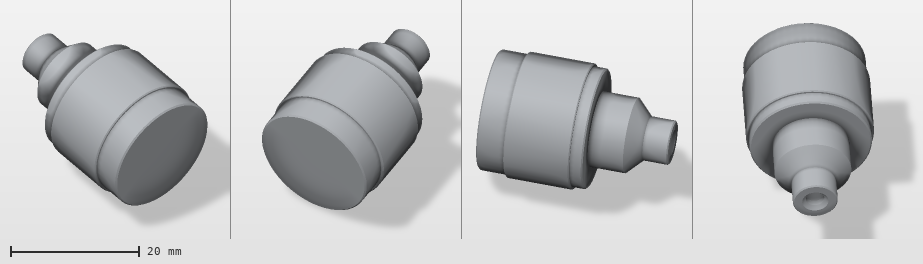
import cadquery as cq

nose_radius = 3.5
neck_radius = 6.0
body_radius = 9.55
sleeve_radius = 10.0

overall_length = 29.22
nose_length = 4.03
cone_end = nose_length + neck_radius - nose_radius
body_start = 12.15
sleeve_start = 14.2
sleeve_end = 24.75

nose_chamfer = 0.2
body_chamfer = 0.23
sleeve_chamfer = 0.18

countersink_radius = 2.05
entry_radius = 1.45
chamber_radius = 1.6
end_bore_radius = 1.25
countersink_depth = countersink_radius - entry_radius
entry_depth = 1.52
chamber_depth = nose_length
end_bore_depth = cone_end


def revolve_about_x(points):
    """Turn a closed (distance along X, radius) outline about the X axis."""
    outline = cq.Workplane("XY").polyline(points).close()
    return outline.revolve(360, (0, 0, 0), (1, 0, 0))


def chamfered_cylinder(start, end, radius, chamfer):
    """A cylinder along X with the same chamfer at both ends."""
    return revolve_about_x([
        (start, 0),
        (start, radius - chamfer),
        (start + chamfer, radius),
        (end - chamfer, radius),
        (end, radius - chamfer),
        (end, 0),
    ])


stem = revolve_about_x([
    (0, 0),
    (0, nose_radius - nose_chamfer),
    (nose_chamfer, nose_radius),
    (nose_length, nose_radius),
    (cone_end, neck_radius),
    (sleeve_start, neck_radius),
    (sleeve_start, 0),
])

body = chamfered_cylinder(body_start, overall_length, body_radius, body_chamfer)
sleeve = chamfered_cylinder(sleeve_start, sleeve_end, sleeve_radius, sleeve_chamfer)

nose_hole = revolve_about_x([
    (0, 0),
    (0, countersink_radius),
    (countersink_depth, entry_radius),
    (entry_depth, entry_radius),
    (entry_depth, chamber_radius),
    (chamber_depth, chamber_radius),
    (chamber_depth, end_bore_radius),
    (end_bore_depth, end_bore_radius),
    (end_bore_depth, 0),
])

result = stem.union(body).union(sleeve).cut(nose_hole)